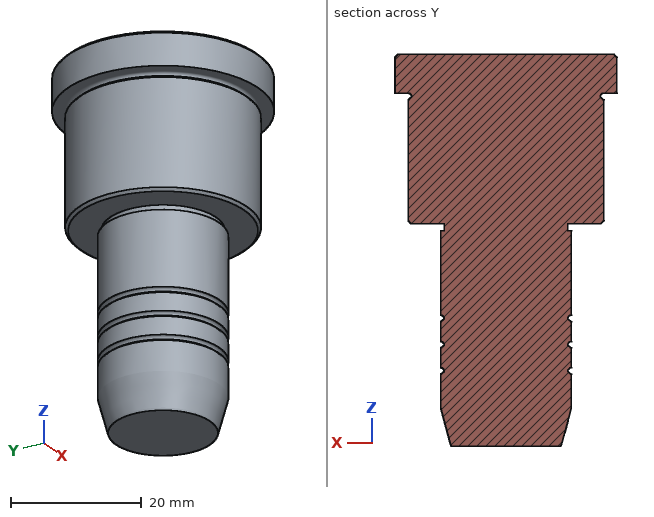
import cadquery as cq
import math

total_height = 60.0
head_radius = 17.01
head_height = 6.0
body_radius = 15.0
body_bottom = 34.0
edge_chamfer = 0.5

relief_width = 1.0
relief_depth = 0.55

neck_radius = 9.5
neck_height = 1.0
shank_radius = 10.0

groove_width = 0.95
groove_depth = 0.55
groove_pitch = 4.0
groove_count = 3
lowest_groove_top = 12.0

taper_height = 5.9
taper_angle = 15.0
tip_chamfer_height = 0.35
tip_radius = 8.4

head_bottom = total_height - head_height
shank_top = body_bottom - neck_height
taper_inset = (taper_height - tip_chamfer_height) * math.tan(math.radians(taper_angle))
taper_end_radius = shank_radius - taper_inset


def revolve_profile(sketch):
    """Turn a closed radius-height profile around the Z axis."""
    return sketch.close().revolve(360, (0, 0, 0), (0, 1, 0))


def ring_groove(radius, top, width, depth):
    """Ring that cuts a groove: quarter-round on the upper side, conical on the lower side."""
    arc_inset = depth * math.sqrt(0.5)
    sketch = (
        cq.Workplane("XZ")
        .moveTo(radius, top)
        .threePointArc((radius - arc_inset, top - depth + arc_inset), (radius - depth, top - depth))
        .lineTo(radius, top - width)
    )
    return revolve_profile(sketch)


blank = revolve_profile(
    cq.Workplane("XZ")
    .moveTo(0, 0)
    .lineTo(tip_radius, 0)
    .lineTo(taper_end_radius, tip_chamfer_height)
    .lineTo(shank_radius, taper_height)
    .lineTo(shank_radius, shank_top)
    .lineTo(neck_radius, shank_top)
    .lineTo(neck_radius, body_bottom)
    .lineTo(body_radius - edge_chamfer, body_bottom)
    .lineTo(body_radius, body_bottom + edge_chamfer)
    .lineTo(body_radius, head_bottom)
    .lineTo(head_radius, head_bottom)
    .lineTo(head_radius, total_height - edge_chamfer)
    .lineTo(head_radius - edge_chamfer, total_height)
    .lineTo(0, total_height)
)

result = blank.cut(ring_groove(body_radius, head_bottom, relief_width, relief_depth))
for index in range(groove_count):
    groove_top = lowest_groove_top + index * groove_pitch
    result = result.cut(ring_groove(shank_radius, groove_top, groove_width, groove_depth))